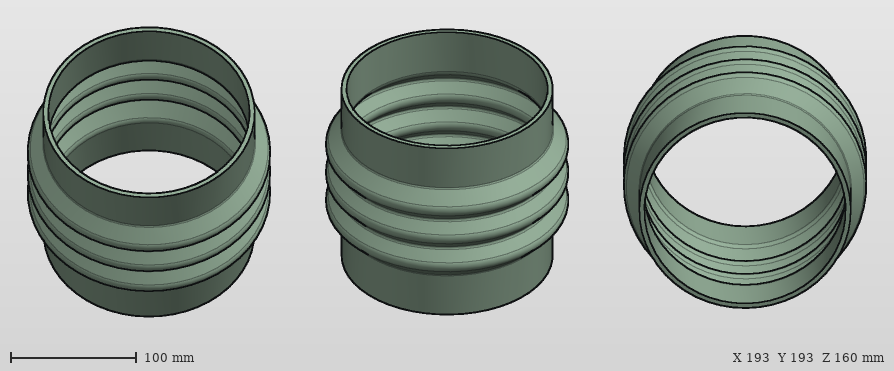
import cadquery as cq
import math

height = 160.0
cuff_outer_radius = 168.0 / 2
bore_radius = 160.0 / 2
crest_outer_radius = 96.5
valley_outer_radius = 86.8
wave_count = 3
pitch = 26.8
cuff_bend_height = 42.5
tight_bend = 2.1

wall = cuff_outer_radius - bore_radius
wide_bend = tight_bend + wall


def bend_centres():
    """List (radius, z, side) of each bend from bottom to top; side is +1 at a crest, -1 at a valley."""
    crest_centre = crest_outer_radius - wide_bend
    valley_centre = valley_outer_radius + tight_bend
    cuff_centre = cuff_outer_radius + tight_bend
    lowest_crest = -pitch * (wave_count - 1) / 2
    bends = [(cuff_centre, -cuff_bend_height, -1)]
    for i in range(wave_count):
        crest_z = lowest_crest + i * pitch
        bends.append((crest_centre, crest_z, 1))
        if i < wave_count - 1:
            bends.append((valley_centre, crest_z + pitch / 2, -1))
    bends.append((cuff_centre, cuff_bend_height, -1))
    return bends


def flank_normal(lower, upper):
    """Angle of the outward normal of the straight flank tangent to two successive bends."""
    dr = upper[0] - lower[0]
    dz = upper[1] - lower[1]
    lean = math.asin((tight_bend + wide_bend) / math.hypot(dr, dz))
    return math.atan2(dz, dr) - math.pi / 2 + lower[2] * lean


def solid_of_revolution(cuff_radius, crest_bend, valley_bend):
    """Solid inside one face of the wall, revolved about Z."""
    bends = bend_centres()
    normals = [0.0]
    for lower, upper in zip(bends, bends[1:]):
        normals.append(flank_normal(lower, upper))
    normals.append(0.0)

    profile = cq.Workplane("XZ").moveTo(0, -height / 2).lineTo(cuff_radius, -height / 2)
    for (r, z, side), start, end in zip(bends, normals, normals[1:]):
        offset = crest_bend if side > 0 else -valley_bend
        first, middle, last = [
            (r + offset * math.cos(a), z + offset * math.sin(a))
            for a in (start, (start + end) / 2, end)
        ]
        profile = profile.lineTo(*first).threePointArc(middle, last)
    profile = profile.lineTo(cuff_radius, height / 2).lineTo(0, height / 2).close()
    return profile.revolve(360, (0, 0, 0), (0, 1, 0))


outside = solid_of_revolution(cuff_outer_radius, wide_bend, tight_bend)
inside = solid_of_revolution(bore_radius, tight_bend, wide_bend)
result = outside.cut(inside)